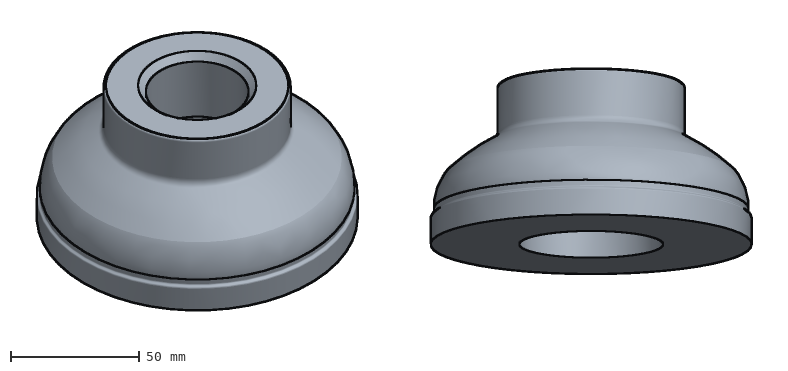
import cadquery as cq
import math

total_height = 63.0
rim_height = 14.0
rim_radius = 125 / 2
neck_radius = 122.6 / 2
step_bottom = 10.3
step_top = 11.8
skirt_top = 14.8
shoulder_rise = 13.5
shoulder_arc_radius = 20.9
hub_radius = 73.0 / 2
hub_round = 1.0
hub_face_height = 0.3
hub_bottom = 44.1
hub_fillet = 3.4
hub_fillet_angle = math.radians(62)
bore_radius = 40 / 2
bore_chamfer_width = 3.0
bore_chamfer_depth = 3.0
recess_radius = 56.0 / 2
recess_top = 33.6


def revolve_about_z(profile):
    """Close a half profile drawn in (radius, height) and turn it about Z."""
    return profile.close().revolve(360, (0, 0, 0), (0, 1, 0))


def make_rim_ring():
    """Rim ring with a smooth outer step and a plain bore."""
    profile = (
        cq.Workplane("XZ")
        .moveTo(recess_radius, 0)
        .lineTo(rim_radius, 0)
        .lineTo(rim_radius, step_bottom)
        .spline([(neck_radius, step_top)], tangents=[(0, 1), (0, 1)], includeCurrent=True)
        .lineTo(neck_radius, rim_height)
        .lineTo(recess_radius, rim_height)
    )
    return revolve_about_z(profile)


def make_cup():
    """Domed cup with its hub, stepped bore, chamfered mouth and rounded hub edge."""
    shoulder_center_radius = neck_radius - shoulder_arc_radius
    shoulder_angle = math.asin(shoulder_rise / shoulder_arc_radius)

    hub_edge_top = total_height - hub_face_height

    def shoulder_point(angle):
        return (
            shoulder_center_radius + shoulder_arc_radius * math.cos(angle),
            skirt_top + shoulder_arc_radius * math.sin(angle),
        )

    def fillet_point(angle):
        return (
            hub_radius + hub_fillet * (1 - math.cos(angle)),
            hub_bottom - hub_fillet * math.sin(angle),
        )

    profile = (
        cq.Workplane("XZ")
        .moveTo(bore_radius, recess_top)
        .lineTo(bore_radius, total_height - bore_chamfer_depth)
        .lineTo(bore_radius + bore_chamfer_width, total_height)
        .lineTo(hub_radius - hub_round, total_height)
        .lineTo(hub_radius - hub_round, hub_edge_top)
        .radiusArc((hub_radius, hub_edge_top - hub_round), hub_round)
        .lineTo(hub_radius, hub_bottom)
        .threePointArc(fillet_point(hub_fillet_angle / 2), fillet_point(hub_fillet_angle))
        .tangentArcPoint(shoulder_point(shoulder_angle), relative=False)
        .threePointArc(shoulder_point(shoulder_angle / 2), shoulder_point(0))
        .lineTo(neck_radius, rim_height)
        .lineTo(recess_radius, rim_height)
        .lineTo(recess_radius, recess_top)
    )
    return revolve_about_z(profile)


rim_ring = make_rim_ring()
cup = make_cup()
result = cq.Compound.makeCompound([rim_ring.val(), cup.val()])